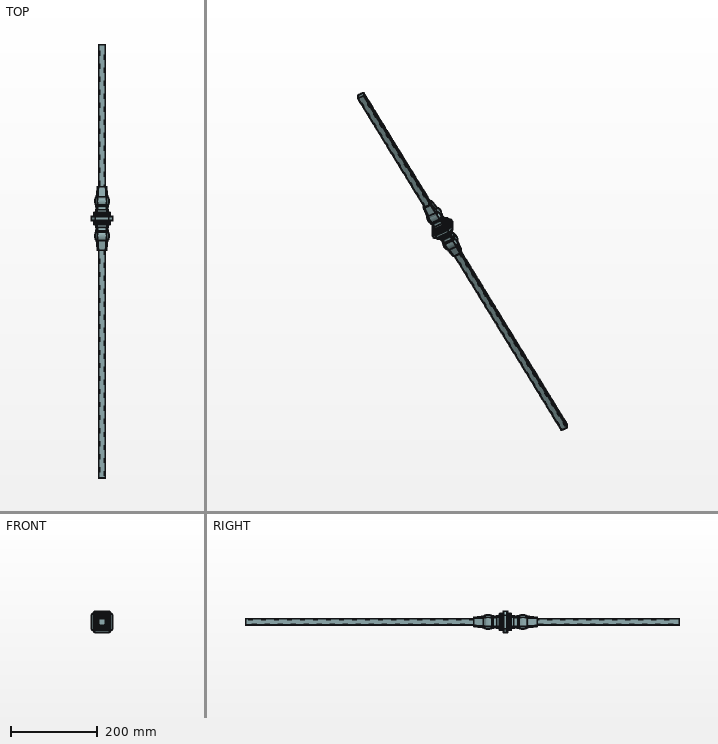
import cadquery as cq

shaft_length = 1000.0
shaft_side = 15.0

notch_length = 9.0
notch_leg = 2.0
notch_pitch = 30.0
notch_count = 33
notch_first_y = 480.0

hub_y = 99.0

plate_width = 50.0
plate_flat = 32.0
plate_half_thickness = 5.5
plate_bevel_length = 2.0
plate_bevel_drop = 1.0

nut_width = 39.0
nut_flat = 28.0
nut_length = 14.0
nut_bevel_length = 1.5
nut_bevel_drop = 1.5
nut_groove_depth = 1.0
nut_groove_start = 7.5
nut_groove_end = 10.0

neck_width = 29.0
neck_flat = 21.0
neck_groove_width = 8.5
neck_groove_depth = 1.5
neck_groove_y = 24.0

bulge_width = 33.0
bulge_radius = 20.0
bulge_crown_y = 40.0
bulge_start = 32.0
bulge_end = 48.0
bulge_tip = 51.0
bulge_tip_drop = 2.0

collar_width = 26.0
collar_flat = 18.0
collar_taper_drop = 2.5
collar_end = 73.0


def faceted_barrel(profile, width, flat):
    """Octagonal solid along Y whose eight sides all follow one side profile.

    profile(reach) returns a closed outline in XY, symmetric about the Y axis,
    whose widest point is at x = reach. The width and flat are those of the
    widest octagon.
    """
    corner_reach = (width + flat) / 8 ** 0.5
    barrel = None
    for angle, reach in ((0, width / 2), (90, width / 2), (45, corner_reach), (135, corner_reach)):
        slab = profile(reach).extrude(2 * width).translate((0, 0, -width))
        slab = slab.rotate((0, 0, 0), (0, 1, 0), angle)
        barrel = slab if barrel is None else barrel.intersect(slab)
    return barrel


def plate_profile(reach):
    return (
        cq.Workplane("XY")
        .lineTo(reach, 0)
        .lineTo(reach, plate_half_thickness - plate_bevel_length)
        .lineTo(reach - plate_bevel_drop, plate_half_thickness)
        .lineTo(0, plate_half_thickness)
        .mirrorY()
    )


def nut_profile(reach):
    floor = reach - nut_groove_depth
    return (
        cq.Workplane("XY")
        .lineTo(reach, 0)
        .lineTo(reach, nut_groove_start)
        .lineTo(floor, nut_groove_start)
        .lineTo(floor, nut_groove_end)
        .lineTo(reach, nut_groove_end)
        .lineTo(reach, nut_length - nut_bevel_length)
        .lineTo(reach - nut_bevel_drop, nut_length)
        .lineTo(0, nut_length)
        .mirrorY()
    )


def neck_profile(reach):
    half_width = neck_groove_width / 2
    return (
        cq.Workplane("XY")
        .lineTo(reach, 0)
        .lineTo(reach, neck_groove_y - half_width)
        .threePointArc(
            (reach - neck_groove_depth, neck_groove_y),
            (reach, neck_groove_y + half_width),
        )
        .lineTo(reach, bulge_end)
        .lineTo(0, bulge_end)
        .mirrorY()
    )


def bulge_profile(reach):
    def side_x(y):
        sag = bulge_radius - (bulge_radius ** 2 - (y - bulge_crown_y) ** 2) ** 0.5
        return reach - sag

    return (
        cq.Workplane("XY")
        .moveTo(0, bulge_start)
        .lineTo(side_x(bulge_start), bulge_start)
        .threePointArc((reach, bulge_crown_y), (side_x(bulge_end), bulge_end))
        .lineTo(side_x(bulge_end) - bulge_tip_drop, bulge_tip)
        .lineTo(0, bulge_tip)
        .mirrorY()
    )


def collar_profile(reach):
    return (
        cq.Workplane("XY")
        .moveTo(0, bulge_start)
        .lineTo(reach, bulge_start)
        .lineTo(reach, bulge_tip)
        .lineTo(reach - collar_taper_drop, collar_end)
        .lineTo(0, collar_end)
        .mirrorY()
    )


def half_hub():
    return (
        faceted_barrel(plate_profile, plate_width, plate_flat)
        .union(faceted_barrel(nut_profile, nut_width, nut_flat))
        .union(faceted_barrel(neck_profile, neck_width, neck_flat))
        .union(faceted_barrel(bulge_profile, bulge_width, neck_flat))
        .union(faceted_barrel(collar_profile, collar_width, collar_flat))
    )


def notch_pair(y, turn):
    """Two triangular cutters centred at y on opposite corners, turned about Y.

    With no turn they sit on the (-X, +Z) and (+X, -Z) corners.
    """
    edge = shaft_side / 2
    cutter = (
        cq.Workplane("XZ", origin=(0, y + notch_length / 2, 0))
        .moveTo(-edge, edge)
        .lineTo(-edge + notch_leg, edge)
        .lineTo(-edge, edge - notch_leg)
        .close()
        .extrude(notch_length)
    )
    return [cutter.rotate((0, 0, 0), (0, 1, 0), angle).val() for angle in (turn, turn + 180)]


def notched_shaft():
    cutters = []
    for index in range(notch_count):
        y = notch_first_y - index * notch_pitch
        cutters += notch_pair(y, 0)
        cutters += notch_pair(y - notch_length, 90)
    shaft = cq.Workplane("XY").box(shaft_side, shaft_length, shaft_side)
    return shaft.cut(cq.Workplane("XY").newObject([cq.Compound.makeCompound(cutters)]))


back_half = half_hub()
hub = back_half.union(back_half.mirror("XZ"))
result = notched_shaft().union(hub.translate((0, hub_y, 0)))